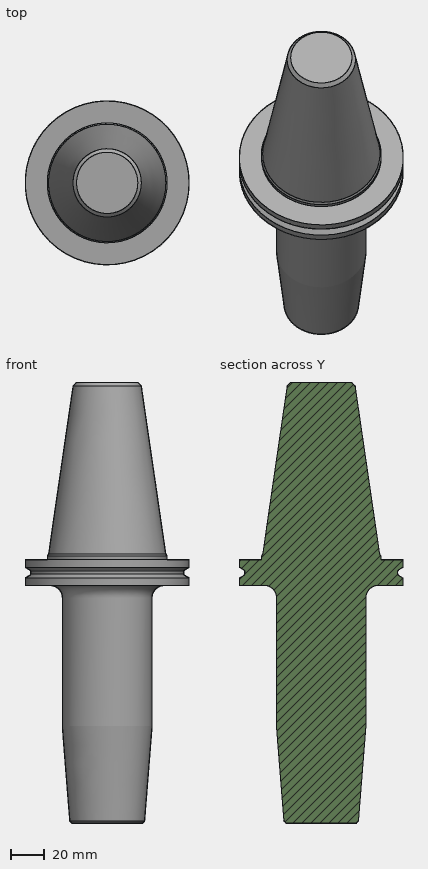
import cadquery as cq
import math

total_length = 261.8
nose_cone_top = 57.5
flange_bottom = 141.0
flange_thickness = 15.5
collar_height = 3.5

nose_radius = 22.2
body_radius = 26.7
flange_radius = 48.7
collar_radius = 35.5
taper_base_radius = 34.8
taper_ratio = 7 / 48

nose_chamfer = 1.3
tip_chamfer = 2.0
collar_bevel = 1.3
neck_fillet = 7.0
groove_depth = 3.1
groove_floor = 2.5
groove_corner_radius = 0.8
groove_wall_angle = math.radians(30)

flange_top = flange_bottom + flange_thickness
collar_top = flange_top + collar_height
tip_edge_height = total_length - tip_chamfer
tip_radius = taper_base_radius - taper_ratio * (tip_edge_height - collar_top)


def make_holder():
    """Revolve the nose, body, flange and taper about the Z axis."""
    fillet_drop = neck_fillet * math.sin(math.pi / 4)
    fillet_middle = (
        body_radius + neck_fillet - fillet_drop,
        flange_bottom - neck_fillet + fillet_drop,
    )
    profile = (
        cq.Workplane("XZ")
        .lineTo(nose_radius - nose_chamfer, 0)
        .lineTo(nose_radius, nose_chamfer)
        .lineTo(body_radius, nose_cone_top)
        .lineTo(body_radius, flange_bottom - neck_fillet)
        .threePointArc(fillet_middle, (body_radius + neck_fillet, flange_bottom))
        .lineTo(flange_radius, flange_bottom)
        .lineTo(flange_radius, flange_top)
        .lineTo(collar_radius, flange_top)
        .lineTo(collar_radius, collar_top - collar_bevel)
        .lineTo(taper_base_radius, collar_top)
        .lineTo(tip_radius, tip_edge_height)
        .lineTo(tip_radius - tip_chamfer, total_length)
        .lineTo(0, total_length)
        .close()
    )
    return profile.revolve(360, (0, 0, 0), (0, 1, 0))


def make_gripper_groove():
    """Ring with sloping walls and rounded floor corners, halfway up the flange rim."""
    middle = (flange_bottom + flange_top) / 2
    half_floor = groove_floor / 2
    half_mouth = half_floor + groove_depth * math.tan(groove_wall_angle)
    floor_radius = flange_radius - groove_depth
    profile = cq.Workplane("XZ").polyline([
        (flange_radius, middle - half_mouth),
        (floor_radius, middle - half_floor),
        (floor_radius, middle + half_floor),
        (flange_radius, middle + half_mouth),
    ]).close()
    ring = profile.revolve(360, (0, 0, 0), (0, 1, 0))
    floor_edges = cq.selectors.RadiusNthSelector(0)
    return ring.edges("%CIRCLE").edges(floor_edges).fillet(groove_corner_radius)


result = make_holder().cut(make_gripper_groove())